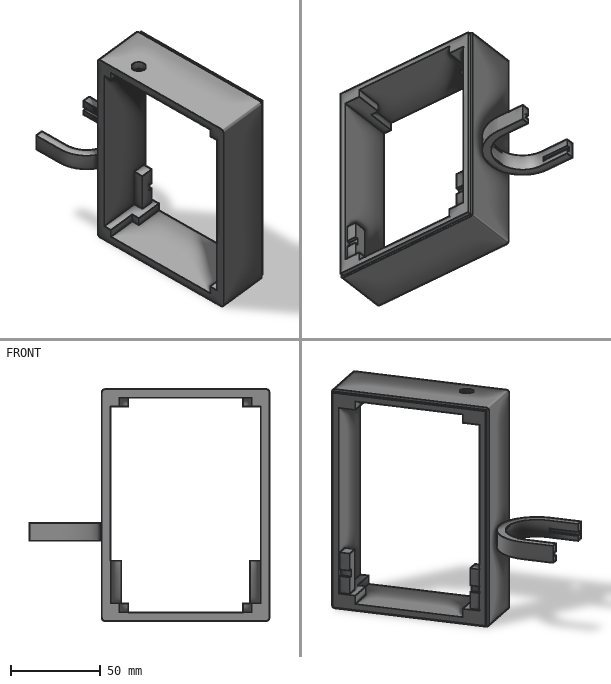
import cadquery as cq

total_length = 134.5
height = 130.0
wall = 5.0

frame_width = 94.0
frame_depth = 32.5
corner_radius = 2.0
lip_depth = 2.5
lip_inset = 1.5
frame_right = total_length / 2
frame_left = frame_right - frame_width
frame_center_x = (frame_left + frame_right) / 2
frame_front = -frame_depth / 2
frame_back = frame_depth / 2
lip_back = frame_back + lip_depth
inner_left = frame_left + wall
inner_bottom = -height / 2 + wall

block_size = 5.0
block_step_depth = 18.0

post_width = 6.0
post_depth = 8.1
post_height = 24.0
post_front = frame_front + 25.4
post_notch_depth = 2.0
post_notch_height = 4.0
post_notch_drop = 10.1

hole_diameter = 8.1
hole_x = frame_left + 21.8
hole_y = -6.2

clip_outer_radius = 22.53
clip_inner_radius = clip_outer_radius - wall
clip_height = 10.1
clip_bottom = -20.0
clip_left = -total_length / 2
arc_center_x = frame_left - clip_outer_radius
groove_length = 17.1
groove_depth = 2.0
groove_height = 2.4
groove_bottom = clip_bottom + 3.0

tab_width = 10.0
tab_height = 8.1
clip_skin = 0.1


def box_from(corner, size):
    """Box with its lowest corner at the given point."""
    return cq.Workplane("XY").box(*size, centered=False).translate(corner)


def centered_box(width, front, depth, box_height):
    """Box centred on the frame in X and Z, starting at the given front face."""
    return (
        cq.Workplane("XY")
        .box(width, depth, box_height, centered=(True, False, True))
        .translate((frame_center_x, front, 0))
    )


def mirrored_in_x(shape):
    """The shape's mirror image across the frame's middle YZ plane."""
    return shape.mirror("YZ", (frame_center_x, 0, 0))


def make_corner_block():
    """Stepped block in the lower left corner of the opening."""
    corner = (inner_left, frame_front, inner_bottom)
    narrow = box_from(corner, (block_size, lip_back - frame_front, block_size))
    wide_corner = (inner_left, frame_front + block_step_depth, inner_bottom)
    wide_depth = lip_back - wide_corner[1]
    return narrow.union(box_from(wide_corner, (2 * block_size, wide_depth, block_size)))


def make_post():
    """Left latch post, notched across its back face."""
    bottom = inner_bottom + block_size
    post = box_from((inner_left, post_front, bottom), (post_width, post_depth, post_height))
    notch_corner = (
        inner_left,
        post_front + post_depth - post_notch_depth,
        bottom + post_height - post_notch_drop - post_notch_height,
    )
    return post.cut(box_from(notch_corner, (post_width, post_notch_depth, post_notch_height)))


def make_frame():
    shell = centered_box(frame_width, frame_front, frame_depth, height).edges("|Y").fillet(corner_radius)
    lip = centered_box(frame_width - 2 * lip_inset, frame_back, lip_depth, height - 2 * lip_inset)
    opening = centered_box(
        frame_width - 2 * wall, frame_front, frame_depth + lip_depth, height - 2 * wall
    )
    frame = shell.union(lip).cut(opening)

    lower_block = make_corner_block()
    upper_block = lower_block.mirror("XY")
    for left_feature in (lower_block, upper_block, make_post()):
        frame = frame.union(left_feature).union(mirrored_in_x(left_feature))

    hole = (
        cq.Workplane("XY", origin=(hole_x, hole_y, height / 2 - wall))
        .circle(hole_diameter / 2)
        .extrude(wall)
    )
    return frame.cut(hole)


def make_tab():
    """Rectangular tab from the frame wall into the crown of the clip."""
    tab_bottom = clip_bottom + (clip_height - tab_height) / 2
    tab_length = wall - clip_skin
    return box_from(
        (frame_left - tab_length, -tab_width / 2, tab_bottom), (tab_length, tab_width, tab_height)
    )


def make_clip():
    clip = (
        cq.Workplane("XY", origin=(0, 0, clip_bottom))
        .moveTo(clip_left, clip_outer_radius)
        .lineTo(arc_center_x, clip_outer_radius)
        .threePointArc((frame_left, 0), (arc_center_x, -clip_outer_radius))
        .lineTo(clip_left, -clip_outer_radius)
        .lineTo(clip_left, -clip_inner_radius)
        .lineTo(arc_center_x, -clip_inner_radius)
        .threePointArc((frame_left - wall, 0), (arc_center_x, clip_inner_radius))
        .lineTo(clip_left, clip_inner_radius)
        .close()
        .extrude(clip_height)
    )

    groove_span = 2 * (clip_inner_radius + groove_depth)
    grooves = box_from(
        (clip_left, -groove_span / 2, groove_bottom), (groove_length, groove_span, groove_height)
    )
    return clip.cut(grooves).cut(make_tab())


frame = make_frame().union(make_tab())
clip = make_clip()
result = cq.Compound.makeCompound([frame.val(), clip.val()])